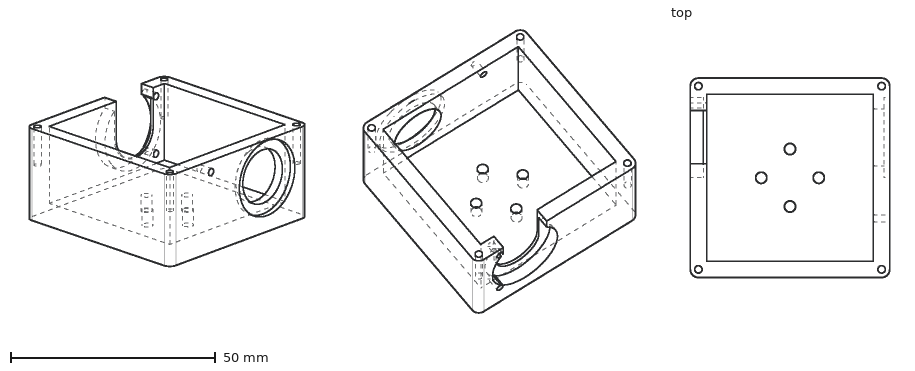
import cadquery as cq

side = 48.7
height = 24.0
wall = 4.0
floor = 4.0
corner_radius = 2.0

screw_diameter = 1.8
screw_depth = 10.0

mount_diameter = 2.7
mount_circle_radius = 7.0

port_y = 9.9
port_z = 14.0
recess_diameter = 19.6
recess_depth = 3.2
slot_width = 13.0
outlet_diameter = 14.0
outlet_recess_depth = 1.5

pin_diameter = 1.8
pin_offset = 7.5
far_pin_y = -port_y
far_pin_z = 21.0

half = side / 2


def make_shell():
    """Open box with rounded vertical corners and a square cavity."""
    outer = cq.Workplane("XY").box(side, side, height, centered=(True, True, False))
    outer = outer.edges("|Z").fillet(corner_radius)
    cavity_side = side - 2 * wall
    cavity = (
        cq.Workplane("XY", origin=(0, 0, floor))
        .rect(cavity_side, cavity_side)
        .extrude(height - floor)
    )
    return outer.cut(cavity)


def x_cylinder(diameter, start_x, y, z, length):
    """Cylinder running in +X from start_x."""
    return cq.Workplane("YZ", origin=(start_x, y, z)).circle(diameter / 2).extrude(length)


def rim_screw_holes():
    spacing = side - 2 * corner_radius
    return (
        cq.Workplane("XY", origin=(0, 0, height))
        .rect(spacing, spacing, forConstruction=True)
        .vertices()
        .circle(screw_diameter / 2)
        .extrude(-screw_depth)
    )


def floor_mount_holes():
    return (
        cq.Workplane("XY")
        .polarArray(mount_circle_radius, 0, 360, 4)
        .circle(mount_diameter / 2)
        .extrude(floor)
    )


def slotted_port():
    """Round-bottomed slot open at the rim, with an outer recess and two pin holes through the wall."""
    slot_height = height - port_z
    upper = (
        cq.Workplane("YZ", origin=(-half, port_y, port_z + slot_height / 2))
        .rect(slot_width, slot_height)
        .extrude(wall)
    )
    cutter = upper.union(x_cylinder(slot_width, -half, port_y, port_z, wall))
    cutter = cutter.union(x_cylinder(recess_diameter, -half, port_y, port_z, recess_depth))
    for direction in (-1, 1):
        pin_z = port_z + direction * pin_offset
        pin = x_cylinder(pin_diameter, -half, port_y + pin_offset, pin_z, wall)
        cutter = cutter.union(pin)
    return cutter


def outlet_port():
    """Round opening through the +X wall, with a shallow recess on the outside."""
    bore = x_cylinder(outlet_diameter, half - wall, port_y, port_z, wall)
    recess_start = half - outlet_recess_depth
    recess = x_cylinder(recess_diameter, recess_start, port_y, port_z, outlet_recess_depth)
    return bore.union(recess)


result = (
    make_shell()
    .cut(rim_screw_holes())
    .cut(floor_mount_holes())
    .cut(slotted_port())
    .cut(outlet_port())
    .cut(x_cylinder(pin_diameter, half - wall, far_pin_y, far_pin_z, wall))
)